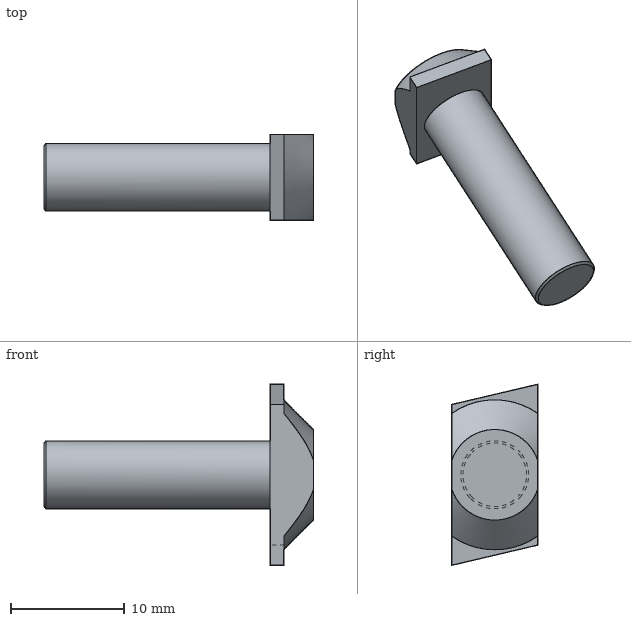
import cadquery as cq

total_length = 23.8
shank_length = 19.97
shank_diameter = 6.0
shank_chamfer = 0.2
plate_thickness = 1.21
head_width = 7.6
head_height = 16.0
end_rise = 1.78
cone_base_radius = 6.62
cone_tip_radius = 4.0

cone_height = total_length - shank_length - plate_thickness
half_width = head_width / 2
high_corner = head_height / 2
low_corner = high_corner - end_rise


def make_shank():
    """Round shank with a chamfered free end at X = 0."""
    shank = cq.Workplane("YZ").circle(shank_diameter / 2).extrude(shank_length)
    return shank.faces("<X").chamfer(shank_chamfer)


def make_plate():
    """Parallelogram plate behind the conical crown."""
    corners = [
        (-half_width, -high_corner),
        (half_width, -low_corner),
        (half_width, high_corner),
        (-half_width, low_corner),
    ]
    plane = cq.Workplane("YZ").workplane(offset=shank_length)
    return plane.polyline(corners).close().extrude(plate_thickness)


def make_crown():
    """Truncated cone with flats flush with the plate sides."""
    crown_start = shank_length + plate_thickness
    cone = cq.Workplane(
        obj=cq.Solid.makeCone(
            cone_base_radius,
            cone_tip_radius,
            cone_height,
            cq.Vector(crown_start, 0, 0),
            cq.Vector(1, 0, 0),
        )
    )
    side_limits = (
        cq.Workplane("YZ")
        .workplane(offset=crown_start)
        .rect(head_width, head_height)
        .extrude(cone_height)
    )
    return cone.intersect(side_limits)


result = make_shank().union(make_plate()).union(make_crown())